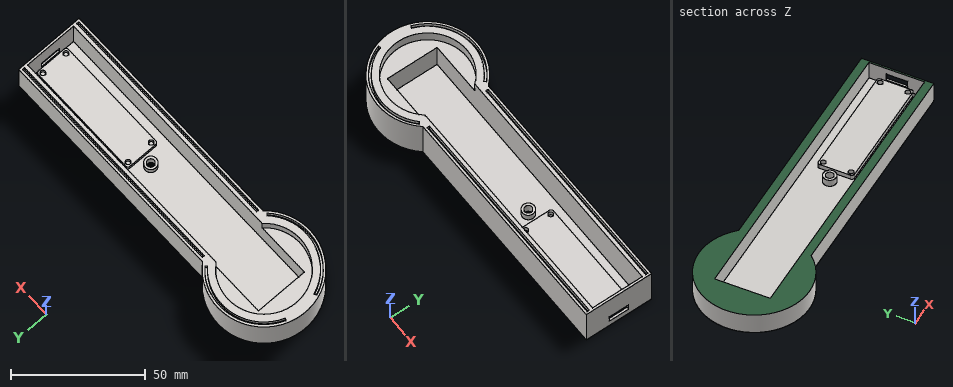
import cadquery as cq
import math

length = 142.3
height = 18.0
head_diameter = 46.0
head_radius = head_diameter / 2
arm_width = 30.2
arm_end_x = length - head_radius

floor_thickness = 1.1
end_wall = 1.0
channel_width = 22.9
channel_start_x = -9.7
channel_end_x = arm_end_x - end_wall

recess_radius = 18.0
recess_depth = 4.8

groove_width = 1.0
groove_depth = 2.0
arm_groove_offset = 13.5
arm_groove_start_x = 18.6
head_groove_radius = 21.5
head_groove_start_angle = 45.0
head_groove_end_angle = 160.0

boss_x = 62.8
boss_diameter = 5.4
boss_height = 3.1
boss_hole_diameter = 3.3

pad_length = 50.7
pad_width = 15.0
pad_height = 2.0
pad_end_gap = 0.4
pad_corner_radius = 1.0
pad_center_x = channel_end_x - pad_end_gap - pad_length / 2
pad_hole_diameter = 2.1
pad_hole_depth = pad_height
pad_hole_edge = 1.7

window_width = 9.0
window_height = 3.0
window_bottom = floor_thickness + pad_height


def block(x_start, x_end, width, z_start, z_end):
    """Box symmetric about the XZ plane."""
    return cq.Workplane("XY").box(
        x_end - x_start, width, z_end - z_start, centered=(False, True, False)
    ).translate((x_start, 0, z_start))


def cylinder(x, radius, z_start, z_end):
    """Upright cylinder standing on the part's centre line."""
    return cq.Workplane("XY", origin=(x, 0, z_start)).circle(radius).extrude(z_end - z_start)


def make_body():
    """Round head and straight arm, hollowed from the top."""
    body = cylinder(0, head_radius, 0, height).union(block(0, arm_end_x, arm_width, 0, height))
    body = body.cut(block(channel_start_x, channel_end_x, channel_width, floor_thickness, height))
    return body.cut(cylinder(0, recess_radius, height - recess_depth, height))


def make_arm_groove(side):
    """Straight groove in one arm wall; side is +1 or -1."""
    groove = block(arm_groove_start_x, channel_end_x, groove_width, height - groove_depth, height)
    return groove.translate((0, side * arm_groove_offset, 0))


def make_head_groove(side):
    """Arc groove in one half of the head rim; side is +1 or -1."""
    def rim_point(radius, angle):
        radians = math.radians(angle)
        return (radius * math.cos(radians), side * radius * math.sin(radians))

    inner = head_groove_radius - groove_width / 2
    outer = head_groove_radius + groove_width / 2
    start = head_groove_start_angle
    end = head_groove_end_angle
    middle = (start + end) / 2
    return (
        cq.Workplane("XY", origin=(0, 0, height - groove_depth))
        .moveTo(*rim_point(outer, start))
        .threePointArc(rim_point(outer, middle), rim_point(outer, end))
        .lineTo(*rim_point(inner, end))
        .threePointArc(rim_point(inner, middle), rim_point(inner, start))
        .close()
        .extrude(groove_depth)
    )


def make_pad():
    """Mounting pad with rounded corners and four blind holes."""
    pad_start_x = pad_center_x - pad_length / 2
    pad_top = floor_thickness + pad_height
    pad = block(pad_start_x, pad_start_x + pad_length, pad_width, floor_thickness, pad_top)
    holes = (
        cq.Workplane("XY", origin=(pad_center_x, 0, pad_top - pad_hole_depth))
        .rect(pad_length - 2 * pad_hole_edge, pad_width - 2 * pad_hole_edge, forConstruction=True)
        .vertices()
        .circle(pad_hole_diameter / 2)
        .extrude(pad_hole_depth)
    )
    return pad.edges("|Z").fillet(pad_corner_radius).cut(holes)


result = make_body()
for side in (1, -1):
    result = result.cut(make_arm_groove(side)).cut(make_head_groove(side))

result = result.union(make_pad())
result = result.union(cylinder(boss_x, boss_diameter / 2, floor_thickness, floor_thickness + boss_height))
result = result.cut(cylinder(boss_x, boss_hole_diameter / 2, 0, floor_thickness + boss_height))
result = result.cut(
    block(channel_end_x, arm_end_x, window_width, window_bottom, window_bottom + window_height)
)